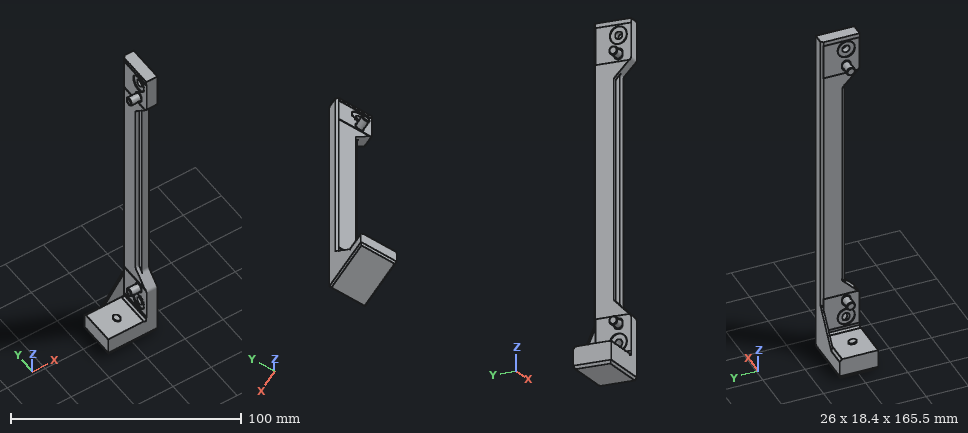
import cadquery as cq
import math

length = 26.0
width = 18.4
height = 165.5

foot_height = 10.3
bar_thickness = 6.0
face_x = length - bar_thickness
bar_mid_z = 87.7

waist_corner_offset = 59.4
waist_depth = 6.5
step_waist_depth = 8.5
step_thickness = 2.0
waist_radius = 2.0
select_margin = 0.2

edge_chamfer = 1.2
bottom_chamfer_width = 0.7
bottom_chamfer_height = 1.5
relief_diameter = 1.5
relief_inset = 0.7
relief_rise = 0.25

gusset_width = 1.0
gusset_toe_x = 9.1
gusset_top_z = 26.1

pad_depth = 0.2
pad_inner_offset = 58.6
pad_outer_offset = 75.6
hole_y = 6.3
hole_offset = 70.8
hole_diameter = 3.5
hole_depth = 4.0
hole_lead_in = 1.7
lower_hole_tilt = 27.0
spotface_diameter = 8.1
spotface_depth = 0.7
pin_offset = 62.2
pin_diameter = 4.0
pin_protrusion = 5.0
pin_insertion = 4.0
pin_chamfer = 0.3
pin_slot_width = 4.1
pin_slot_length = 5.1
pin_slot_depth = 0.5

stud_x = 10.0
stud_y = 8.0
stud_length_x = 3.0
stud_length_y = 4.0
stud_turn = 12.0
stud_height = 0.7


def box(x_range, y_range, z_range):
    """Axis-aligned box given by its limits along each axis."""
    size = [limits[1] - limits[0] for limits in (x_range, y_range, z_range)]
    corner = cq.Vector(x_range[0], y_range[0], z_range[0])
    return cq.Workplane(cq.Solid.makeBox(*size, corner))


def cylinder(diameter, depth, start, direction):
    """Round bar running from a start point along a direction."""
    return cq.Workplane(cq.Solid.makeCylinder(diameter / 2, depth, cq.Vector(*start), cq.Vector(*direction)))


def waist_cut(depth, x_range):
    """Trapezoidal notch with 45 degree ends, open to the -Y side."""
    mouth = waist_corner_offset
    floor = waist_corner_offset - depth
    notch = (
        cq.Workplane("YZ", origin=(x_range[0], 0, bar_mid_z))
        .polyline([(0, -mouth), (depth, -floor), (depth, floor), (0, mouth)])
        .close()
        .extrude(x_range[1] - x_range[0])
    )
    return notch.edges("|X and >Y").fillet(waist_radius)


def bracket_blank():
    """L-shaped bracket with the inner +Y edges broken and the foot tapered at the bottom."""
    foot = box((0, length), (0, width), (bottom_chamfer_height, foot_height))
    foot = foot.edges(">Z and >Y").chamfer(edge_chamfer)
    taper = (
        cq.Workplane("XY", origin=(length / 2, width / 2, 0))
        .rect(length - 2 * bottom_chamfer_width, width - 2 * bottom_chamfer_width)
        .workplane(offset=bottom_chamfer_height)
        .rect(length, width)
        .loft()
    )
    bar = box((face_x, length), (0, width), (bottom_chamfer_height, height))
    bar = bar.edges("<X and >Y").chamfer(edge_chamfer)
    return foot.union(bar).union(taper)


def cut_waist(body):
    """Cut the stepped waist and round the corners at its mouth."""
    step_x = face_x + step_thickness
    body = body.cut(waist_cut(waist_depth, (face_x, length)))
    body = body.cut(waist_cut(step_waist_depth, (face_x, step_x)))
    corner_z = waist_corner_offset + select_margin
    mouth_edges = cq.selectors.BoxSelector(
        (face_x - select_margin, -select_margin, bar_mid_z - corner_z),
        (length + select_margin, select_margin, bar_mid_z + corner_z),
    )
    return body.edges(mouth_edges).edges("|X").fillet(waist_radius)


def gusset():
    """Thin triangular web flush with the +Y side."""
    toe_z = foot_height - edge_chamfer
    top_x = face_x + edge_chamfer
    return (
        cq.Workplane("XZ", origin=(0, width, 0))
        .polyline([(gusset_toe_x, toe_z), (top_x, toe_z), (top_x, gusset_top_z)])
        .close()
        .extrude(gusset_width)
    )


def corner_relief():
    """Round groove undercutting the inner corner of foot and bar."""
    start = (face_x - relief_inset, 0, foot_height + relief_rise)
    return cylinder(relief_diameter, width - edge_chamfer, start, (0, 1, 0))


def pad_recess(side):
    """Shallow recess for one mounting pad, side being +1 (upper) or -1 (lower)."""
    limits = sorted(bar_mid_z + side * offset for offset in (pad_inner_offset, pad_outer_offset))
    return box((face_x, face_x + pad_depth), (0, width - edge_chamfer), limits)


def screw_hole(side, tilt):
    """Spotfaced blind hole whose axis dips by the tilt angle, in degrees."""
    center = cq.Vector(face_x, hole_y, bar_mid_z + side * hole_offset)
    angle = math.radians(tilt)
    axis = cq.Vector(math.cos(angle), 0, -math.sin(angle))
    start = center - axis * hole_lead_in
    spotface = cylinder(spotface_diameter, spotface_depth, center.toTuple(), (1, 0, 0))
    return spotface.union(cylinder(hole_diameter, hole_lead_in + hole_depth, start.toTuple(), axis.toTuple()))


def pin_seat(side):
    """Close-fitting pin hole with a shallow slot around its mouth, long along Z."""
    pin_z = bar_mid_z + side * pin_offset
    slot = (
        cq.Workplane("YZ", origin=(face_x, hole_y, pin_z))
        .slot2D(pin_slot_length, pin_slot_width, 90)
        .extrude(pin_slot_depth)
    )
    return slot.union(cylinder(pin_diameter, pin_insertion, (face_x, hole_y, pin_z), (1, 0, 0)))


def stud():
    """Low oval stud, turned slightly about Z."""
    return (
        cq.Workplane("XY", origin=(stud_x, stud_y, foot_height))
        .ellipse(stud_length_x / 2, stud_length_y / 2, stud_turn)
        .extrude(stud_height)
    )


def make_bracket():
    """Complete bracket with its stud, pads, screw holes and pin seats."""
    body = cut_waist(bracket_blank())
    body = body.union(gusset())
    body = body.cut(corner_relief())
    body = body.union(stud())
    for side, tilt in ((1, 0), (-1, lower_hole_tilt)):
        body = body.cut(pad_recess(side))
        body = body.cut(screw_hole(side, tilt))
        body = body.cut(pin_seat(side))
    return body


def make_pin(side):
    """Dowel pin with a chamfered tip, seated in the bar."""
    start = (face_x - pin_protrusion, hole_y, bar_mid_z + side * pin_offset)
    pin = cylinder(pin_diameter, pin_protrusion + pin_insertion, start, (1, 0, 0))
    return pin.faces("<X").chamfer(pin_chamfer)


bracket = make_bracket()
pins = [make_pin(side) for side in (1, -1)]
result = cq.Compound.makeCompound([bracket.val(), *[pin.val() for pin in pins]])